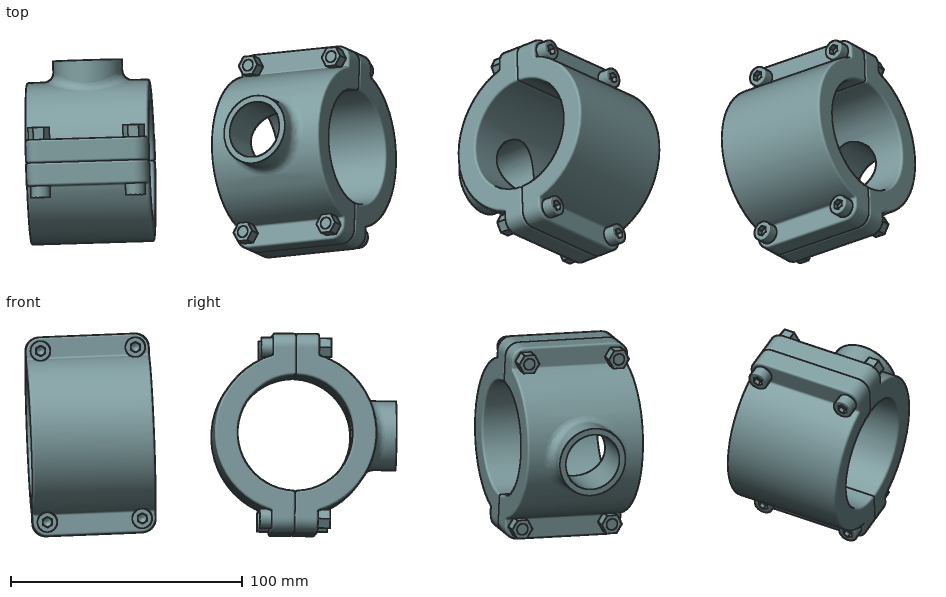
import cadquery as cq
import math

clamp_length = 53.0
barrel_radius = 35.0
bore_radius = 25.0
edge_radius = 1.0
root_radius = 1.0

screw_pitch_x = 41.0
screw_pitch_z = 74.0
flange_corner_radius = (clamp_length - screw_pitch_x) / 2
flange_height = screw_pitch_z + 2 * flange_corner_radius
flange_thickness = 10.0
clearance_diameter = 5.5

outlet_diameter = 30.0
outlet_bore_diameter = 24.5
outlet_reach = 44.0
outlet_root_radius = 4.0

screw_diameter = 5.0
head_diameter = 8.5
head_height = 5.0
head_edge_radius = 0.3
socket_across_flats = 4.0
socket_depth = 2.5
drill_point_angle = 120.0

nut_across_flats = 8.0
nut_height = 5.3

turn_x = -0.55
turn_y = -2.29
turn_z = 1.73

screw_places = [
    (x, z)
    for x in (-screw_pitch_x / 2, screw_pitch_x / 2)
    for z in (-screw_pitch_z / 2, screw_pitch_z / 2)
]


def hexagon_diameter(across_flats):
    """Diameter of the circle through the corners of a hexagon."""
    return across_flats / math.cos(math.pi / 6)


def facing_rear(y):
    """Work plane at the given Y, extruding toward +Y, with its own x along -X and y along Z."""
    return cq.Workplane(cq.Plane(origin=(0, y, 0), xDir=(-1, 0, 0), normal=(0, 1, 0)))


def outlet_cylinder(diameter, start):
    """Cylinder along +Y from the given Y to the end of the outlet."""
    return facing_rear(start).circle(diameter / 2).extrude(outlet_reach - start)


def make_half():
    """Half of the clamp on the +Y side of the split plane."""
    barrel = cq.Workplane("YZ").circle(barrel_radius).extrude(clamp_length / 2, both=True)
    rear_space = facing_rear(0).rect(clamp_length, flange_height).extrude(barrel_radius)
    flange = (
        facing_rear(0)
        .rect(clamp_length, flange_height)
        .extrude(flange_thickness)
        .edges("|Y")
        .fillet(flange_corner_radius)
    )
    half = barrel.intersect(rear_space).union(flange)

    root_z = math.sqrt(barrel_radius**2 - flange_thickness**2)
    for z in (-root_z, root_z):
        root_edge = cq.selectors.NearestToPointSelector((0, flange_thickness, z))
        half = half.edges(root_edge).fillet(root_radius)

    bore = cq.Workplane("YZ").circle(bore_radius).extrude(clamp_length, both=True)
    half = half.cut(bore).faces("<X or >X or <Y").edges().fillet(edge_radius)

    screw_holes = (
        facing_rear(0)
        .pushPoints(screw_places)
        .circle(clearance_diameter / 2)
        .extrude(flange_thickness)
    )
    return half.cut(screw_holes)


def add_outlet(half):
    """Join the side outlet to a half, with a rounded root and a bore into the barrel."""
    mid_wall = (bore_radius + barrel_radius) / 2
    half = half.union(outlet_cylinder(outlet_diameter, mid_wall))
    root_edge = cq.selectors.NearestToPointSelector((0, barrel_radius, 0))
    half = half.edges(root_edge).fillet(outlet_root_radius)
    return half.cut(outlet_cylinder(outlet_bore_diameter, 0))


def make_screw(x, z):
    """Socket head screw with its head on the front flange face and its end flush with the nut."""
    head_top = -flange_thickness - head_height
    head = (
        facing_rear(head_top)
        .circle(head_diameter / 2)
        .extrude(head_height)
        .faces("<Y")
        .edges()
        .fillet(head_edge_radius)
    )
    shank_length = 2 * flange_thickness + nut_height
    shank = facing_rear(-flange_thickness).circle(screw_diameter / 2).extrude(shank_length)

    socket = (
        facing_rear(head_top)
        .transformed(rotate=(0, 0, 90))
        .polygon(6, hexagon_diameter(socket_across_flats))
        .extrude(socket_depth)
    )
    point_radius = socket_across_flats / 2
    point_depth = point_radius / math.tan(math.radians(drill_point_angle / 2))
    point_base = cq.Vector(0, head_top + socket_depth, 0)
    drill_point = cq.Solid.makeCone(point_radius, 0, point_depth, pnt=point_base, dir=cq.Vector(0, 1, 0))
    return head.union(shank).cut(socket).cut(cq.Workplane(drill_point)).translate((x, 0, z))


def make_nut(x, z):
    """Hexagon nut on the rear flange face, with two flats facing up and down."""
    return (
        facing_rear(flange_thickness)
        .polygon(6, hexagon_diameter(nut_across_flats))
        .circle(screw_diameter / 2)
        .extrude(nut_height)
        .translate((x, 0, z))
    )


def place(body):
    """Turn a body about the X, Y and Z axes, in that order, into its final attitude."""
    origin = (0, 0, 0)
    turned = body.rotate(origin, (1, 0, 0), turn_x)
    turned = turned.rotate(origin, (0, 1, 0), turn_y)
    return turned.rotate(origin, (0, 0, 1), turn_z).val()


front_half = make_half().mirror("XZ")
rear_half = add_outlet(make_half())
screws = [make_screw(x, z) for x, z in screw_places]
nuts = [make_nut(x, z) for x, z in screw_places]

for screw in screws:
    front_half = front_half.cut(screw)
for nut in nuts:
    rear_half = rear_half.cut(nut)

result = cq.Compound.makeCompound([place(body) for body in (front_half, rear_half, *screws, *nuts)])